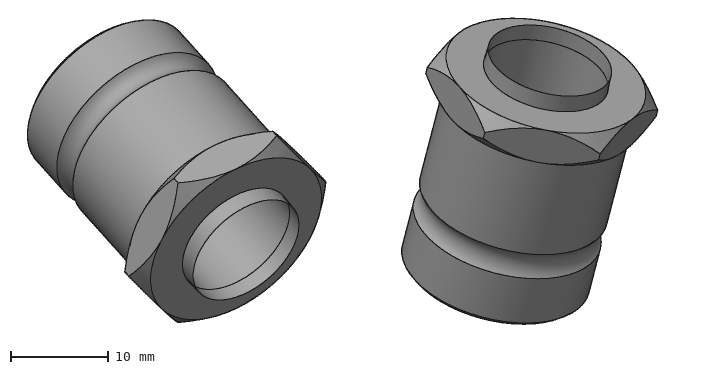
import cadquery as cq
import math

body_length = 20.5
hex_length = 4.0
hex_end = body_length + hex_length
total_length = 26.38

body_diameter = 19.8
bore_diameter = 13.0
spigot_root_diameter = 13.157

across_flats = 21.0
across_corners = across_flats / math.cos(math.radians(30))
hex_chamfer_angle = 45.0

end_chamfer = 0.5
groove_start = 6.0
groove_width = 3.0
groove_radius = 2.0


def make_body():
    """Turned body with a chamfered end and a round-bottomed groove."""
    radius = body_diameter / 2
    half_width = groove_width / 2
    groove_depth = groove_radius - math.sqrt(groove_radius**2 - half_width**2)
    groove_end = groove_start + groove_width
    groove_middle = groove_start + half_width
    profile = (
        cq.Workplane("XY")
        .moveTo(0, 0)
        .lineTo(0, radius - end_chamfer)
        .lineTo(end_chamfer, radius)
        .lineTo(groove_start, radius)
        .threePointArc((groove_middle, radius - groove_depth), (groove_end, radius))
        .lineTo(body_length, radius)
        .lineTo(body_length, 0)
        .close()
    )
    return profile.revolve(360, (0, 0, 0), (1, 0, 0))


def make_hexagon():
    """Hexagon with corners on the Y axis, cone-chamfered on both faces down to the flats."""
    prism = (
        cq.Workplane("YZ", origin=(body_length, 0, 0))
        .polygon(6, across_corners)
        .extrude(hex_length)
    )
    face_radius = across_flats / 2
    corner_radius = across_corners / 2
    chamfer_length = (corner_radius - face_radius) / math.tan(math.radians(hex_chamfer_angle))
    envelope = (
        cq.Workplane("XY")
        .moveTo(body_length, 0)
        .lineTo(body_length, face_radius)
        .lineTo(body_length + chamfer_length, corner_radius)
        .lineTo(hex_end - chamfer_length, corner_radius)
        .lineTo(hex_end, face_radius)
        .lineTo(hex_end, 0)
        .close()
        .revolve(360, (0, 0, 0), (1, 0, 0))
    )
    return prism.intersect(envelope)


def make_bore():
    """Bore through the whole length."""
    return cq.Workplane("YZ").circle(bore_diameter / 2).extrude(total_length)


def make_spigot():
    """Thin ring beyond the hexagon, tapering outside to a sharp edge at the bore."""
    bore_radius = bore_diameter / 2
    profile = (
        cq.Workplane("XY")
        .moveTo(hex_end, bore_radius)
        .lineTo(hex_end, spigot_root_diameter / 2)
        .lineTo(total_length, bore_radius)
        .close()
    )
    return profile.revolve(360, (0, 0, 0), (1, 0, 0))


result = make_body().union(make_hexagon()).cut(make_bore()).union(make_spigot())